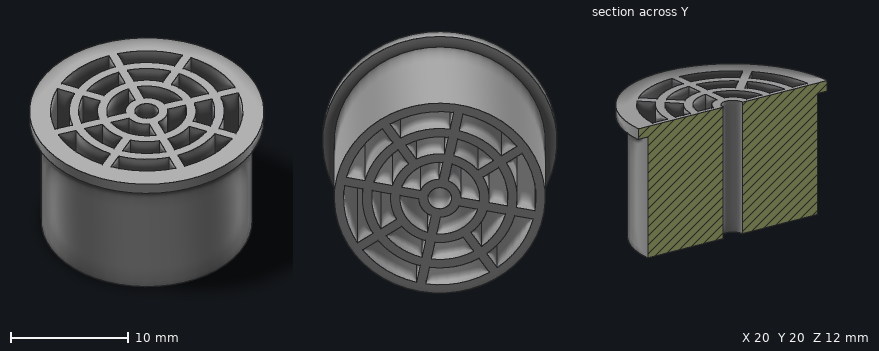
import cadquery as cq

total_height = 12
flange_diameter = 20
flange_height = 1
body_diameter = 18

hole_diameter = 2
ring_width = 0.8
slot_width = 1.6
spoke_width = 0.8
hub_radius = hole_diameter / 2 + ring_width
ring_pitch = slot_width + ring_width
spokes_per_slot_circle = [4, 8, 8]


def vertical_cylinder(radius):
    return cq.Workplane("XY").circle(radius).extrude(total_height)


def spokes(count):
    """Full-height bars across the centre; each bar makes two opposite spokes."""
    bars = cq.Workplane("XY")
    for index in range(count // 2):
        bar = cq.Workplane("XY").rect(body_diameter, spoke_width).extrude(total_height)
        bars = bars.add(bar.rotate((0, 0, 0), (0, 0, 1), index * 360 / count))
    return bars.combine()


def slot_circle(inner_radius, spoke_count):
    """Ring of through slots left between the spokes."""
    outer = vertical_cylinder(inner_radius + slot_width)
    inner = vertical_cylinder(inner_radius)
    return outer.cut(inner).cut(spokes(spoke_count))


body = vertical_cylinder(body_diameter / 2)
flange = (
    cq.Workplane("XY")
    .workplane(offset=total_height - flange_height)
    .circle(flange_diameter / 2)
    .extrude(flange_height)
)
result = body.union(flange)

result = result.cut(vertical_cylinder(hole_diameter / 2))
for position, spoke_count in enumerate(spokes_per_slot_circle):
    result = result.cut(slot_circle(hub_radius + position * ring_pitch, spoke_count))